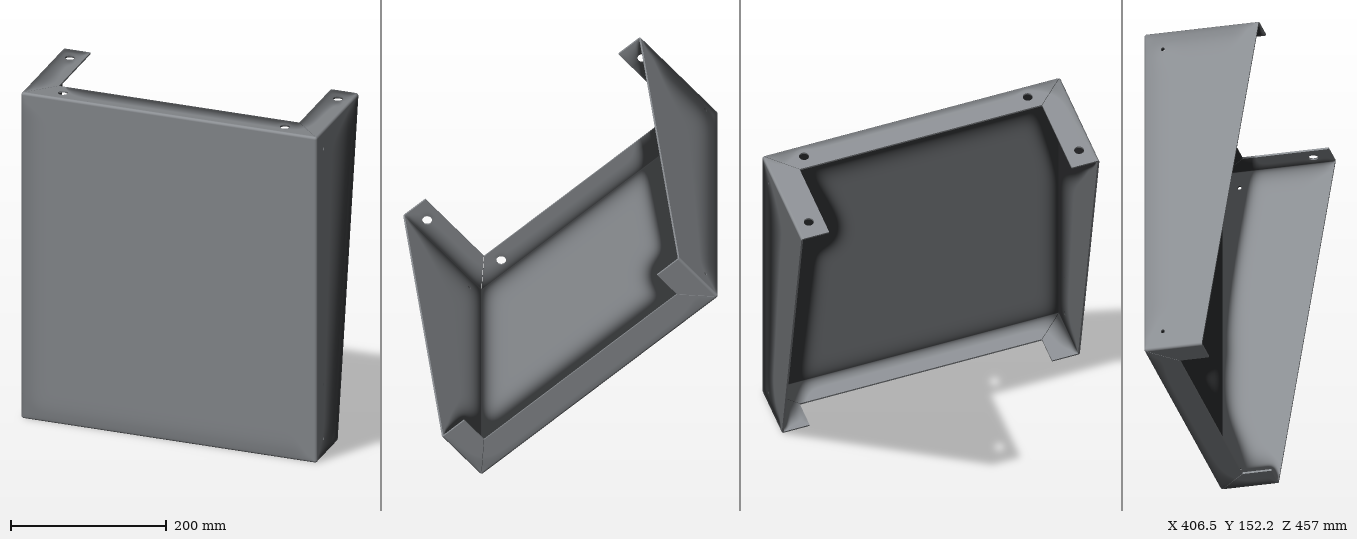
import cadquery as cq
import math

width = 406.5
height = 457.0
top_depth = 152.2
bottom_depth = 76.5

sheet = 2.5
bend_inner_radius = 0.8
bend_outer_radius = bend_inner_radius + sheet
flange_width = 38.0
miter_gap = 0.55

flange_hole_diameter = 13.0
flange_hole_inset = flange_width / 2
front_hole_side_offset = 50.7
rear_hole_back_offset = 25.0
side_hole_diameter = 5.0
side_hole_offset = 25.0


def rounded_tray(inset, radius):
    """Block whose edges are all rounded except those around its back face."""
    depth = top_depth - inset
    return (
        cq.Workplane("XY")
        .box(width - 2 * inset, depth, height - 2 * inset, centered=(True, False, False))
        .edges("not(>Y)")
        .fillet(radius)
        .translate((0, inset, inset))
    )


def back_wedge():
    """Material behind the slanted back edges of the sides."""
    return (
        cq.Workplane("YZ")
        .polyline([(top_depth, height), (bottom_depth, 0), (top_depth, 0)])
        .close()
        .extrude(width / 2, both=True)
    )


def flange_opening():
    """Open middle of the top and bottom, leaving flanges on three sides."""
    return (
        cq.Workplane("XY")
        .box(width - 2 * flange_width, top_depth, height, centered=(True, False, False))
        .translate((0, flange_width, 0))
    )


def miter_slit(side):
    """Diagonal slit parting the side flanges from the front flanges at one corner."""
    length = (flange_width - bend_outer_radius) * math.sqrt(2)
    middle = (bend_outer_radius + flange_width) / 2
    return (
        cq.Workplane("XY")
        .box(length, miter_gap, height, centered=(True, True, False))
        .rotate((0, 0, 0), (0, 0, 1), -45 * side)
        .translate((side * (width / 2 - middle), middle, 0))
    )


def top_flange_holes():
    """Two holes in the front flange and one near the back of each side flange."""
    front_x = width / 2 - front_hole_side_offset
    rear_x = width / 2 - flange_hole_inset
    rear_y = top_depth - rear_hole_back_offset
    centers = []
    for side in (-1, 1):
        centers.append((side * front_x, flange_hole_inset))
        centers.append((side * rear_x, rear_y))
    return (
        cq.Workplane("XY", origin=(0, 0, height - sheet))
        .pushPoints(centers)
        .circle(flange_hole_diameter / 2)
        .extrude(sheet)
    )


def side_holes():
    """Holes through both sides, near the top and bottom of the front edge."""
    centers = [(side_hole_offset, z) for z in (side_hole_offset, height - side_hole_offset)]
    return (
        cq.Workplane("YZ")
        .pushPoints(centers)
        .circle(side_hole_diameter / 2)
        .extrude(width / 2, both=True)
    )


result = rounded_tray(0, bend_outer_radius).cut(rounded_tray(sheet, bend_inner_radius))
result = result.cut(back_wedge()).cut(flange_opening())
for side in (-1, 1):
    result = result.cut(miter_slit(side))
result = result.cut(top_flange_holes()).cut(side_holes())